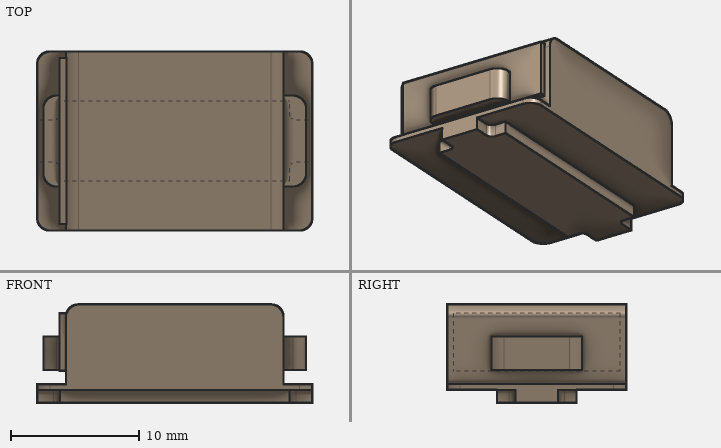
import cadquery as cq

plate_length = 21.5
plate_width = 14.0
plate_thickness = 0.45

foot_height = 1.0
foot_length = 17.89
foot_width = 6.24
tongue_width = 3.3

total_height = 7.7
housing_length = 17.0

panel_thickness = 0.5
panel_width = 12.99
panel_bottom = 2.5
panel_top = 7.0

terminal_span = 20.51
terminal_width = 7.1
terminal_bottom = 2.55
terminal_top = 5.18

outer_radius = 1.0
inner_radius = outer_radius / 2

plate_top = foot_height + plate_thickness


def block(length, width, bottom, top):
    """Box centred on the Z axis, between two heights."""
    return cq.Workplane("XY", origin=(0, 0, bottom)).rect(length, width).extrude(top - bottom)


def make_foot():
    centre = block(foot_length, foot_width, 0, foot_height)
    tongue = block(plate_length, tongue_width, 0, foot_height)
    margin = inner_radius / 2
    inner_corners = cq.selectors.BoxSelector(
        (-foot_length / 2 - margin, -tongue_width / 2 - margin, 0),
        (foot_length / 2 + margin, tongue_width / 2 + margin, foot_height),
    )
    return centre.union(tongue).edges("|Z").edges(inner_corners).fillet(inner_radius)


def make_plate():
    plate = block(plate_length, plate_width, foot_height, plate_top)
    return plate.edges("|Z").fillet(outer_radius)


def make_housing():
    housing = block(housing_length, plate_width, plate_top, total_height)
    return housing.edges("|Y and >Z").fillet(outer_radius)


def make_panel():
    depth = panel_thickness + outer_radius
    centre_x = -housing_length / 2 - panel_thickness + depth / 2
    return block(depth, panel_width, panel_bottom, panel_top).translate((centre_x, 0, 0))


def make_terminals():
    bar = block(terminal_span, terminal_width, terminal_bottom, terminal_top)
    return bar.edges("|Z").fillet(outer_radius)


result = (
    make_plate()
    .union(make_foot())
    .union(make_housing())
    .union(make_panel())
    .union(make_terminals())
)